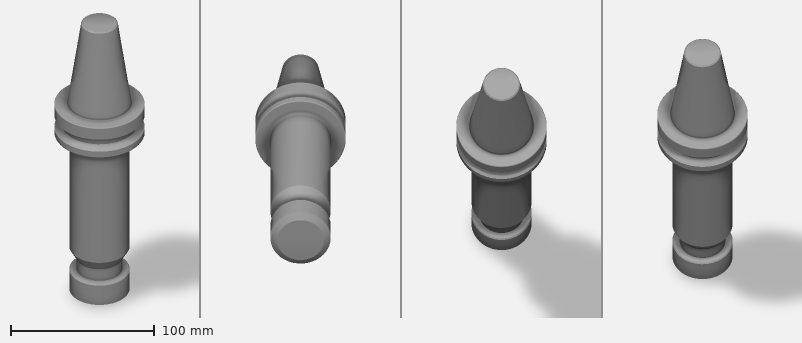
import cadquery as cq
import math


TAPER_LENGTH = 65.4
GAUGE_DIAMETER = 44.45
TAPER_RATIO = 7 / 24
TAPER_END_CHAMFER = 0.8

LAND_FILLET = 0.8

FLANGE_DIAMETER = 62.95
FLANGE_TOP = -2.0
FLANGE_BOTTOM = -27.0
FLANGE_EDGE_FILLET = 0.8
GROOVE_DIAMETER = 53.0
GROOVE_CENTER = -16.6
GROOVE_FLOOR_WIDTH = 4.3
GROOVE_WALL_ANGLE = 30.0

BODY_DIAMETER = 42.0
BODY_FILLET = 2.0
OVERALL_LENGTH = 225.4
BOTTOM = TAPER_LENGTH - OVERALL_LENGTH
NECK_DIAMETER = 32.0
NECK_TOP = -130.4
NECK_CONE_ANGLE = 30.0

NUT_DIAMETER = 42.0
NUT_HEIGHT = 20.0
NUT_TOP_CHAMFER = 0.8
NUT_END_DIAMETER = 32.5
NUT_END_CONE_HEIGHT = 3.0


def cylinder(diameter, bottom, top):
    """Solid cylinder on the Z axis between two heights."""
    return cq.Workplane("XY").workplane(offset=bottom).circle(diameter / 2).extrude(top - bottom)


def cone(bottom_diameter, top_diameter, bottom, top):
    """Solid truncated cone on the Z axis between two heights."""
    profile = [
        (0, bottom),
        (bottom_diameter / 2, bottom),
        (top_diameter / 2, top),
        (0, top),
    ]
    return cq.Workplane("XZ").polyline(profile).close().revolve(360, (0, 0), (0, 1))


def make_shank():
    """Taper with a chamfered small end, on a land that is filleted into the flange."""
    gauge_radius = GAUGE_DIAMETER / 2
    end_radius = gauge_radius - TAPER_RATIO * TAPER_LENGTH / 2
    profile = (
        cq.Workplane("XZ")
        .moveTo(0, FLANGE_TOP)
        .lineTo(gauge_radius + LAND_FILLET, FLANGE_TOP)
        .radiusArc((gauge_radius, FLANGE_TOP + LAND_FILLET), LAND_FILLET)
        .lineTo(gauge_radius, 0)
        .lineTo(end_radius, TAPER_LENGTH)
        .lineTo(0, TAPER_LENGTH)
        .close()
    )
    shank = profile.revolve(360, (0, 0), (0, 1))
    return shank.faces(">Z").chamfer(TAPER_END_CHAMFER)


def make_flange():
    """Disc with rounded outer edges and a V-groove around its rim."""
    disc = cylinder(FLANGE_DIAMETER, FLANGE_BOTTOM, FLANGE_TOP)
    disc = disc.faces("<Z or >Z").edges().fillet(FLANGE_EDGE_FILLET)

    floor_radius = GROOVE_DIAMETER / 2
    rim_radius = FLANGE_DIAMETER / 2
    floor_half = GROOVE_FLOOR_WIDTH / 2
    wall_rise = (rim_radius - floor_radius) * math.tan(math.radians(GROOVE_WALL_ANGLE))
    mouth_half = floor_half + wall_rise
    profile = [
        (floor_radius, GROOVE_CENTER - floor_half),
        (rim_radius, GROOVE_CENTER - mouth_half),
        (rim_radius, GROOVE_CENTER + mouth_half),
        (floor_radius, GROOVE_CENTER + floor_half),
    ]
    groove = cq.Workplane("XZ").polyline(profile).close().revolve(360, (0, 0), (0, 1))
    return disc.cut(groove)


def make_body():
    """Extension filleted into the flange, coned down to the neck above the nut."""
    body_radius = BODY_DIAMETER / 2
    neck_radius = NECK_DIAMETER / 2
    cone_height = (body_radius - neck_radius) / math.tan(math.radians(NECK_CONE_ANGLE))
    fillet_bottom = FLANGE_BOTTOM - BODY_FILLET
    profile = (
        cq.Workplane("XZ")
        .moveTo(0, FLANGE_BOTTOM)
        .lineTo(body_radius + BODY_FILLET, FLANGE_BOTTOM)
        .radiusArc((body_radius, fillet_bottom), -BODY_FILLET)
        .lineTo(body_radius, NECK_TOP + cone_height)
        .lineTo(neck_radius, NECK_TOP)
        .lineTo(neck_radius, BOTTOM + NUT_HEIGHT)
        .lineTo(0, BOTTOM + NUT_HEIGHT)
        .close()
    )
    return profile.revolve(360, (0, 0), (0, 1))


def make_nut():
    """Clamping nut with a chamfered top edge and a conical lower end."""
    cone_top = BOTTOM + NUT_END_CONE_HEIGHT
    ring = cylinder(NUT_DIAMETER, cone_top, BOTTOM + NUT_HEIGHT)
    ring = ring.faces(">Z").chamfer(NUT_TOP_CHAMFER)
    return ring.union(cone(NUT_END_DIAMETER, NUT_DIAMETER, BOTTOM, cone_top))


result = make_shank().union(make_flange()).union(make_body()).union(make_nut())